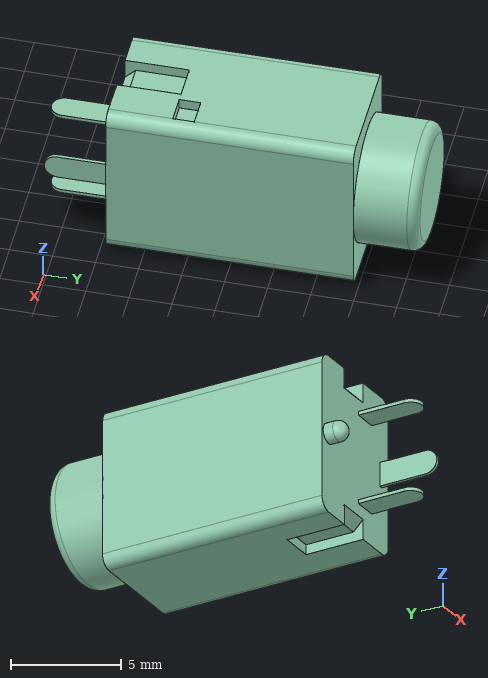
import cadquery as cq

TOTAL_LENGTH = 17.5
HOUSING_WIDTH = 6.0
HOUSING_HEIGHT = 8.0
HOUSING_CORNER_RADIUS = 0.6

NOSE_LENGTH = 3.0
NOSE_DIAMETER = HOUSING_WIDTH
NOSE_TIP_RADIUS = 0.5

SLOT_WIDTH = 1.7
SLOT_LENGTH = 3.0
SLOT_CENTER_X = -0.14
SLOT_DEPTH = 0.5
SLOT_BEVEL_HEIGHT = 0.5
SLOT_BEVEL_LENGTH = 0.5

WINDOW_WIDTH = 1.33
WINDOW_LENGTH = 1.0
WINDOW_DEPTH = SLOT_DEPTH

POST_DIAMETER = 1.0
POST_LENGTH = 1.0
POST_X = -2.4

BLADE_LENGTH = 3.0
BLADE_WIDTH = 1.2
BLADE_THICKNESS = 0.2
FLAT_BLADE_X = 0.9
FLAT_BLADE_Z = 2.25
SIDE_BLADE_X = 2.31

FULL_TURN = 360
QUARTER_TURN = 90

FRONT_Y = TOTAL_LENGTH / 2
NOSE_BASE_Y = FRONT_Y - NOSE_LENGTH
REAR_Y = -TOTAL_LENGTH / 2 + BLADE_LENGTH
HOUSING_LENGTH = NOSE_BASE_Y - REAR_Y


def make_top_slot():
    """Cutter for the top slot, whose floor is bevelled down at the rear face."""
    top_z = HOUSING_HEIGHT / 2
    floor_z = top_z - SLOT_DEPTH
    profile = [
        (REAR_Y, top_z),
        (REAR_Y + SLOT_LENGTH, top_z),
        (REAR_Y + SLOT_LENGTH, floor_z),
        (REAR_Y + SLOT_BEVEL_LENGTH, floor_z),
        (REAR_Y, floor_z - SLOT_BEVEL_HEIGHT),
    ]
    slot = cq.Workplane("YZ").polyline(profile).close().extrude(SLOT_WIDTH / 2, both=True)
    return slot.translate((SLOT_CENTER_X, 0, 0))


def make_window():
    """Cutter for the window, which starts level with the inner end of the slot."""
    right_x = HOUSING_WIDTH / 2 - HOUSING_CORNER_RADIUS
    window = cq.Workplane("XY").box(WINDOW_WIDTH, WINDOW_LENGTH, WINDOW_DEPTH, centered=False)
    return window.translate(
        (right_x - WINDOW_WIDTH, REAR_Y + SLOT_LENGTH, HOUSING_HEIGHT / 2 - WINDOW_DEPTH)
    )


def make_nose():
    """Plain cylinder with a rounded rim, revolved about the Y axis."""
    radius = NOSE_DIAMETER / 2
    nose = (
        cq.Workplane("YZ")
        .moveTo(NOSE_BASE_Y, 0)
        .lineTo(NOSE_BASE_Y, radius)
        .lineTo(FRONT_Y - NOSE_TIP_RADIUS, radius)
        .radiusArc((FRONT_Y, radius - NOSE_TIP_RADIUS), NOSE_TIP_RADIUS)
        .lineTo(FRONT_Y, 0)
        .close()
    )
    return nose.revolve(FULL_TURN, (0, 0, 0), (1, 0, 0))


def make_post():
    """Round shank with a hemispherical end, revolved about its own axis."""
    radius = POST_DIAMETER / 2
    post = (
        cq.Workplane("YZ")
        .moveTo(REAR_Y, 0)
        .lineTo(REAR_Y, radius)
        .lineTo(REAR_Y - POST_LENGTH + radius, radius)
        .radiusArc((REAR_Y - POST_LENGTH, 0), -radius)
        .close()
    )
    return post.revolve(FULL_TURN, (0, 0, 0), (1, 0, 0)).translate((POST_X, 0, 0))


def make_housing():
    """Rounded block with its nose and post, cut by the two slots and the window."""
    block = cq.Workplane("XY").box(HOUSING_WIDTH, HOUSING_LENGTH, HOUSING_HEIGHT)
    block = block.edges("|Y").fillet(HOUSING_CORNER_RADIUS)
    block = block.translate((0, (NOSE_BASE_Y + REAR_Y) / 2, 0))
    top_slot = make_top_slot()
    bottom_slot = top_slot.mirror("XY")
    block = block.cut(top_slot).cut(bottom_slot).cut(make_window())
    return block.union(make_nose()).union(make_post())


def make_blade():
    """Horizontal blade that runs from the origin toward -Y to a fully rounded tip."""
    half_width = BLADE_WIDTH / 2
    tip_center_y = -BLADE_LENGTH + half_width
    return (
        cq.Workplane("XY")
        .moveTo(-half_width, 0)
        .lineTo(-half_width, tip_center_y)
        .threePointArc((0, -BLADE_LENGTH), (half_width, tip_center_y))
        .lineTo(half_width, 0)
        .close()
        .extrude(BLADE_THICKNESS / 2, both=True)
    )


def make_flat_blades():
    """Two horizontal blades, mirrored above and below the middle of the housing."""
    return [make_blade().translate((FLAT_BLADE_X, REAR_Y, z)) for z in (-FLAT_BLADE_Z, FLAT_BLADE_Z)]


def make_side_blade():
    """One blade turned upright, near the +X side of the housing."""
    upright_blade = make_blade().rotate((0, 0, 0), (0, 1, 0), QUARTER_TURN)
    return upright_blade.translate((SIDE_BLADE_X, REAR_Y, 0))


housing = make_housing()
flat_blades = make_flat_blades()
side_blade = make_side_blade()

result = cq.Compound.makeCompound(
    [housing.val(), *[blade.val() for blade in flat_blades], side_blade.val()]
)